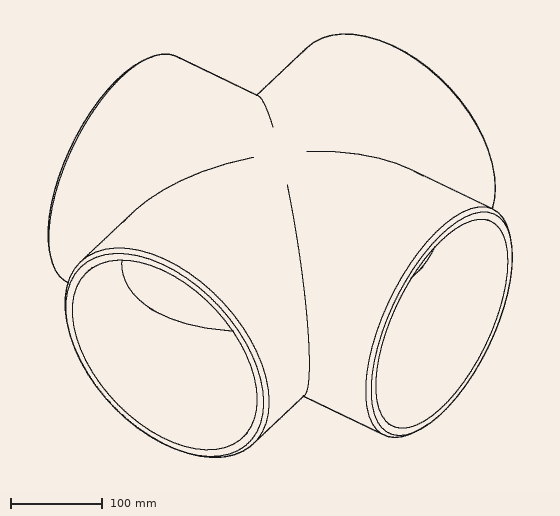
import cadquery as cq

length = 432.0
outer_diameter = 273.0
bore_diameter = 247.0
chamfer = 4.5


def cylinder_along(plane, diameter):
    """Full-length cylinder centred on the origin, normal to the plane."""
    return cq.Workplane(plane).circle(diameter / 2).extrude(length / 2, both=True)


def chamfered_pipe(plane):
    """Solid run with bevelled outer rims at both ends."""
    return cylinder_along(plane, outer_diameter).edges("%CIRCLE").chamfer(chamfer)


run_planes = ("YZ", "XZ")
result = chamfered_pipe(run_planes[0]).union(chamfered_pipe(run_planes[1]))
for run_plane in run_planes:
    result = result.cut(cylinder_along(run_plane, bore_diameter))